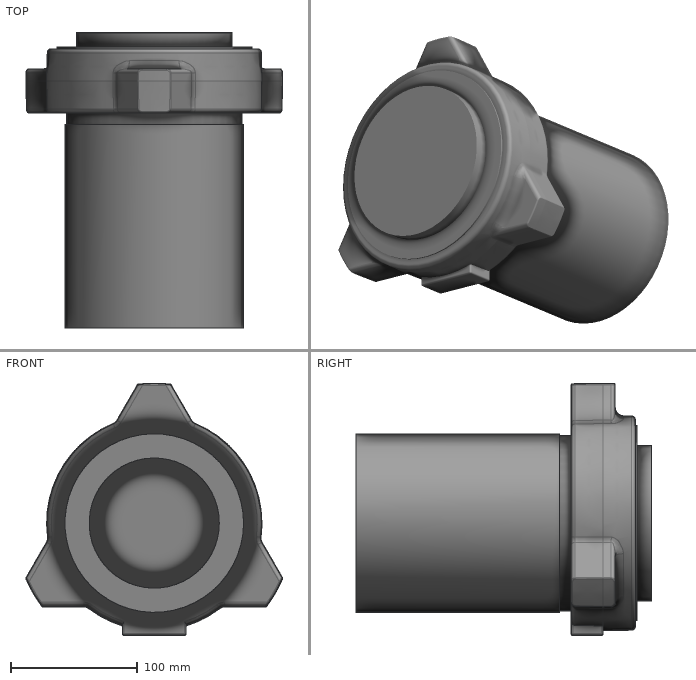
import cadquery as cq
import math

shoulder_y = 161.6
nut_front_y = 170.8
parting_y = 196.0
lug_back_y = 205.7
nut_back_y = 221.7
ring_back_y = 223.0
spigot_end_y = 234.5

pipe_radius = 70.8
bore_radius = 51.5
neck_radius = 69.7
nut_radius = 85.5
ring_radius = 77.5
spigot_radius = 61.7

lug_count = 3
lug_tip_radius = 111.0
lug_flank_offset = 66.5
lug_flank_angle = 30.0

tab_width = 50.5
tab_reach = 89.1

draft_angle = 1.0
edge_fillet = 3.3
tip_fillet = 1.2
tab_fillet = 1.5
root_fillet = 6.5

station_slack = 0.02
radius_slack = 1.2


def cylinder(radius, start_y, end_y):
    """Round bar along Y between two stations."""
    base = cq.Workplane("XZ", origin=(0, start_y, 0))
    return base.circle(radius).extrude(start_y - end_y)


def drafted_body(draw_outline, back_y):
    """Extrude an outline both ways from the parting plane, narrowing with the draft."""
    halves = []
    for end_y in (nut_front_y, back_y):
        base = cq.Workplane("XZ", origin=(0, parting_y, 0))
        halves.append(draw_outline(base).extrude(parting_y - end_y, taper=draft_angle))
    front, back = halves
    return front.union(back)


def nut_outline(base):
    return base.circle(nut_radius)


def lug_outline(base):
    """Two flanks converging upwards, closed by an arc tip."""
    flank_angle = math.radians(lug_flank_angle)
    corner_angle = flank_angle + math.acos(lug_flank_offset / lug_tip_radius)
    corner_x = lug_tip_radius * math.cos(corner_angle)
    corner_z = lug_tip_radius * math.sin(corner_angle)
    foot_x = lug_flank_offset / math.cos(flank_angle)
    return (
        base.moveTo(-foot_x, 0)
        .lineTo(-corner_x, corner_z)
        .threePointArc((0, lug_tip_radius), (corner_x, corner_z))
        .lineTo(foot_x, 0)
        .close()
    )


def edge_radii(edge):
    """Distances from the Y axis to the start, middle and end of an edge."""
    points = [edge.positionAt(t) for t in (0, 0.5, 1)]
    return [math.hypot(point.x, point.z) for point in points]


def lies_at(edge, station_y):
    return abs(edge.Center().y - station_y) < station_slack


def is_on_nut_wall(edge):
    return all(abs(radius - nut_radius) < radius_slack for radius in edge_radii(edge))


def is_on_lug_tip(edge):
    return all(radius > lug_tip_radius - edge_fillet for radius in edge_radii(edge))


def is_lug_back_flank(edge):
    runs_outward = max(edge_radii(edge)) - min(edge_radii(edge)) > edge_fillet
    return lies_at(edge, lug_back_y) and runs_outward


def is_lug_root(edge):
    between_faces = nut_front_y + station_slack < edge.Center().y < nut_back_y - station_slack
    return between_faces and is_on_nut_wall(edge) and not lies_at(edge, parting_y)


def is_front_rim(edge):
    return lies_at(edge, nut_front_y) and not is_on_lug_tip(edge)


def is_back_rim(edge):
    return lies_at(edge, nut_back_y)


def is_lug_tip_border(edge):
    return is_on_lug_tip(edge) and not lies_at(edge, parting_y)


def make_lug():
    """Upright lug with the back edges of its flanks rounded."""
    lug = drafted_body(lug_outline, lug_back_y)
    return lug.edges().filter(is_lug_back_flank).fillet(edge_fillet)


def make_nut():
    """Round nut body with its ring of lugs, rounded from the roots out to the tips."""
    nut = drafted_body(nut_outline, nut_back_y)
    lug = make_lug()
    for index in range(lug_count):
        nut = nut.union(lug.rotate((0, 0, 0), (0, 1, 0), index * 360 / lug_count))
    nut = nut.edges().filter(is_lug_root).fillet(root_fillet)
    nut = nut.edges().filter(is_front_rim).fillet(edge_fillet)
    nut = nut.edges().filter(is_back_rim).fillet(edge_fillet)
    return nut.edges().filter(is_lug_tip_border).fillet(tip_fillet)


def make_tab():
    """Rounded block below the nut, flush with its front and ending at the parting plane."""
    tab_length = parting_y - nut_front_y
    tab_height = tab_reach - neck_radius
    tab = cq.Workplane("XY").box(tab_width, tab_length, tab_height, centered=(True, False, False))
    tab = tab.translate((0, nut_front_y, -tab_reach))
    return tab.edges("|Z or <Z").fillet(tab_fillet)


pipe = cylinder(pipe_radius, 0, shoulder_y)
neck = cylinder(neck_radius, shoulder_y, nut_front_y)
ring = cylinder(ring_radius, nut_back_y, ring_back_y)
spigot = cylinder(spigot_radius, ring_back_y, spigot_end_y)
bore = cylinder(bore_radius, 0, shoulder_y)

result = make_nut().union(make_tab()).union(pipe).union(neck).union(ring).union(spigot).cut(bore)